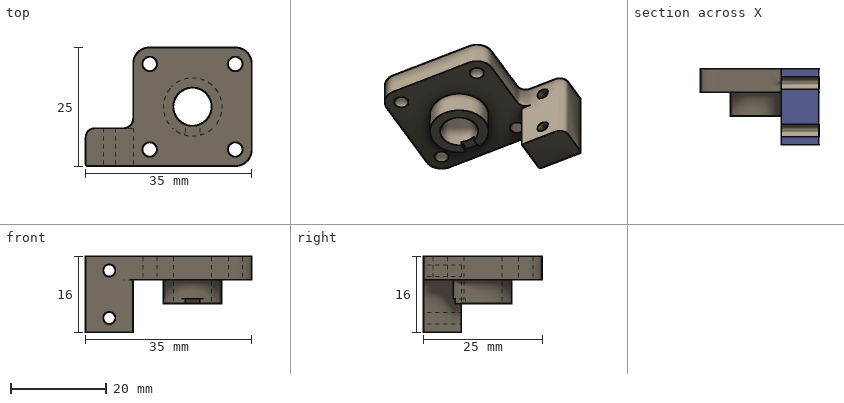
import cadquery as cq
import math

flange_size = 25.0
flange_thickness = 5.0
flange_corner_radius = 3.5
flange_hole_diameter = 3.0
flange_hole_spacing = 18.0

leg_width = 10.0
leg_depth = 8.0
leg_height = 16.0
leg_back_radius = 2.0
leg_front_radius = 0.5
leg_hole_diameter = 2.5
leg_hole_spacing = 10.0
leg_upper_hole_drop = 3.0

inner_corner_radius = 2.0

spigot_diameter = 12.3
spigot_length = 5.0
bore_diameter = 8.0

notch_width = 3.0
notch_height = 1.0
notch_mouth_radius = 0.5

flange_left = leg_width
overall_length = leg_width + flange_size
center_x = flange_left + flange_size / 2
center_y = flange_size / 2
spigot_bottom = -flange_thickness - spigot_length


def make_plate():
    """Flange plus the leg's top section, as one L-shaped plate."""
    plate = (
        cq.Workplane("XY")
        .workplane(offset=-flange_thickness)
        .polyline([
            (0, 0),
            (overall_length, 0),
            (overall_length, flange_size),
            (flange_left, flange_size),
            (flange_left, leg_depth),
            (0, leg_depth),
        ])
        .close()
        .extrude(flange_thickness)
    )
    plate = vertical_fillet(plate, overall_length, 0, flange_corner_radius)
    plate = vertical_fillet(plate, overall_length, flange_size, flange_corner_radius)
    plate = vertical_fillet(plate, flange_left, flange_size, flange_corner_radius)
    plate = vertical_fillet(plate, flange_left, leg_depth, inner_corner_radius)
    return round_leg_left_side(plate)


def vertical_fillet(body, x, y, radius):
    """Round the vertical edge that stands nearest to (x, y)."""
    mid_z = body.val().BoundingBox().center.z
    return body.edges("|Z").edges(cq.selectors.NearestToPointSelector((x, y, mid_z))).fillet(radius)


def round_leg_left_side(body):
    """Round the two left corners shared by the plate and the leg."""
    body = vertical_fillet(body, 0, 0, leg_front_radius)
    return vertical_fillet(body, 0, leg_depth, leg_back_radius)


def make_lower_leg():
    """Part of the leg below the plate."""
    leg = (
        cq.Workplane("XY")
        .workplane(offset=-leg_height)
        .rect(leg_width, leg_depth, centered=False)
        .extrude(leg_height - flange_thickness)
    )
    leg = vertical_fillet(leg, leg_width, 0, leg_front_radius)
    return round_leg_left_side(leg)


def make_spigot():
    return (
        cq.Workplane("XY")
        .workplane(offset=spigot_bottom)
        .center(center_x, center_y)
        .circle(spigot_diameter / 2)
        .extrude(spigot_length)
    )


def make_bore():
    return (
        cq.Workplane("XY")
        .workplane(offset=spigot_bottom)
        .center(center_x, center_y)
        .circle(bore_diameter / 2)
        .extrude(spigot_length + flange_thickness)
    )


def make_notch():
    """Cutter from the bore axis out through the front wall, flared by the mouth radius."""
    spigot_radius = spigot_diameter / 2
    half_width = notch_width / 2
    arc_center_x = half_width + notch_mouth_radius
    arc_center_reach = spigot_radius - notch_mouth_radius
    arc_center_y = -math.sqrt(arc_center_reach**2 - arc_center_x**2)
    touch_x = arc_center_x * spigot_radius / arc_center_reach
    touch_y = arc_center_y * spigot_radius / arc_center_reach
    return (
        cq.Workplane("XY")
        .workplane(offset=spigot_bottom)
        .center(center_x, center_y)
        .moveTo(-half_width, 0)
        .lineTo(-half_width, arc_center_y)
        .radiusArc((-touch_x, touch_y), notch_mouth_radius)
        .lineTo(-touch_x, -spigot_radius)
        .lineTo(touch_x, -spigot_radius)
        .lineTo(touch_x, touch_y)
        .radiusArc((half_width, arc_center_y), notch_mouth_radius)
        .lineTo(half_width, 0)
        .close()
        .extrude(notch_height)
    )


def make_flange_holes():
    return (
        cq.Workplane("XY")
        .center(center_x, center_y)
        .rect(flange_hole_spacing, flange_hole_spacing, forConstruction=True)
        .vertices()
        .circle(flange_hole_diameter / 2)
        .extrude(-flange_thickness)
    )


def make_leg_holes():
    """Two holes through the leg, front to back."""
    upper_z = -leg_upper_hole_drop
    lower_z = upper_z - leg_hole_spacing
    return (
        cq.Workplane("XZ")
        .pushPoints([(leg_width / 2, upper_z), (leg_width / 2, lower_z)])
        .circle(leg_hole_diameter / 2)
        .extrude(-leg_depth)
    )


bracket = make_plate().union(make_lower_leg()).union(make_spigot())
for cutter in (make_bore(), make_notch(), make_flange_holes(), make_leg_holes()):
    bracket = bracket.cut(cutter)

result = bracket